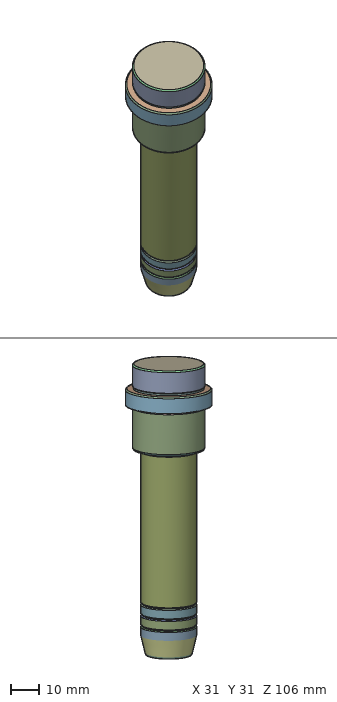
import cadquery as cq

length = 106.0
head_radius = 26.0 / 2
flange_radius = 31.0 / 2
shank_radius = 20.0 / 2

flange_top = 97.0
flange_bottom = 91.1
body_bottom = 74.9
taper_top = 7.0

head_chamfer = 0.5
flange_chamfer = 0.5
relief_width = 1.0
relief_depth = 0.3
body_chamfer_height = 0.6
body_chamfer_depth = 0.3
neck_width = 1.0
neck_depth = 0.5

taper_end_radius = 8.5
tip_chamfer_height = 0.6
tip_chamfer_depth = 0.3

groove_count = 3
lowest_groove_height = 10.6
groove_pitch = 4.0
groove_width = 1.0
groove_depth = 0.5
groove_floor_width = 0.3


def revolve_profile(points):
    """Revolve a closed (radius, height) outline around the Z axis."""
    return cq.Workplane("XZ").polyline(points).close().revolve(360, (0, 0, 0), (0, 1, 0))


def make_shank():
    """Shank with tapered tip, running up through the body."""
    return revolve_profile([
        (0, 0),
        (taper_end_radius - tip_chamfer_depth, 0),
        (taper_end_radius, tip_chamfer_height),
        (shank_radius, taper_top),
        (shank_radius, body_bottom - neck_width),
        (shank_radius - neck_depth, body_bottom - neck_width),
        (shank_radius - neck_depth, flange_bottom),
        (0, flange_bottom),
    ])


def make_head():
    """Body, flange and cap, with a sloped relief on both sides of the flange."""
    relief_radius = head_radius - relief_depth
    relief_floor = relief_width - relief_depth
    return revolve_profile([
        (0, body_bottom),
        (head_radius - body_chamfer_depth, body_bottom),
        (head_radius, body_bottom + body_chamfer_height),
        (head_radius, flange_bottom - relief_width),
        (relief_radius, flange_bottom - relief_floor),
        (relief_radius, flange_bottom),
        (flange_radius, flange_bottom),
        (flange_radius, flange_top - flange_chamfer),
        (flange_radius - flange_chamfer, flange_top),
        (relief_radius, flange_top),
        (relief_radius, flange_top + relief_floor),
        (head_radius, flange_top + relief_width),
        (head_radius, length - head_chamfer),
        (head_radius - head_chamfer, length),
        (0, length),
    ])


def make_groove(height):
    """Ring cutter with sloped sides, centred at the given height."""
    floor_radius = shank_radius - groove_depth
    return revolve_profile([
        (shank_radius, height - groove_width / 2),
        (floor_radius, height - groove_floor_width / 2),
        (floor_radius, height + groove_floor_width / 2),
        (shank_radius, height + groove_width / 2),
    ])


result = make_shank().union(make_head())
for index in range(groove_count):
    result = result.cut(make_groove(lowest_groove_height + index * groove_pitch))